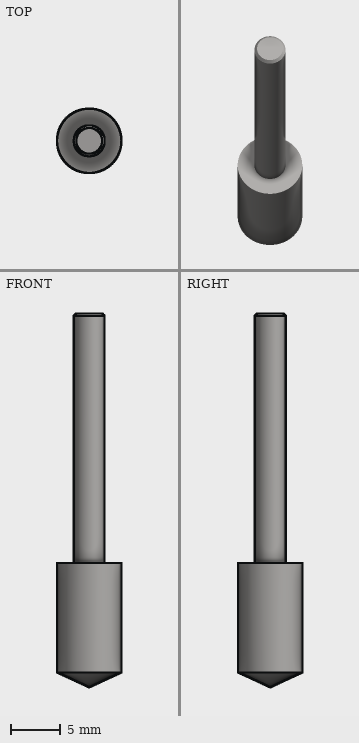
import cadquery as cq

total_length = 38.1
head_diameter = 6.6
head_length = 12.7
tip_height = 1.52
shank_diameter = 3.15
shank_chamfer = 0.25

head_radius = head_diameter / 2
shank_length = total_length - head_length


def make_head():
    """Cylindrical head with a conical tip, revolved about the Z axis."""
    return (
        cq.Workplane("XZ")
        .moveTo(0, 0)
        .lineTo(head_radius, tip_height)
        .lineTo(head_radius, head_length)
        .lineTo(0, head_length)
        .close()
        .revolve(360, (0, 0, 0), (0, 1, 0))
    )


def make_shank():
    """Round shank standing on the head, with a chamfered top end."""
    return (
        cq.Workplane("XY", origin=(0, 0, head_length))
        .circle(shank_diameter / 2)
        .extrude(shank_length)
        .faces(">Z")
        .chamfer(shank_chamfer)
    )


head = make_head()
shank = make_shank()

result = cq.Compound.makeCompound([head.val(), shank.val()])